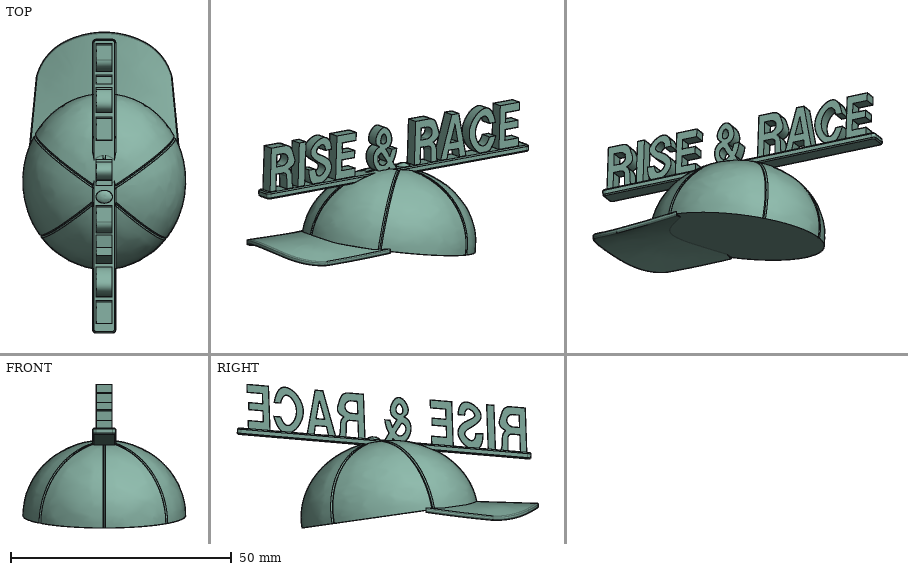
import cadquery as cq
import math


CROWN_HALF_LENGTH = 20.05
CROWN_HALF_WIDTH = 18.47
CROWN_HEIGHT = 17.15
CROWN_TILT = 8.1
CROWN_LEAN = 0.03
CROWN_CENTRE_Y = 3.6
CROWN_CENTRE_Z = CROWN_HALF_LENGTH * math.sin(math.radians(CROWN_TILT))

SEAM_WIDTH = 0.7
SEAM_DEPTH = 0.25
SEAM_ANGLES = (90, 270, 30, 148.5, 218, 320)

BRIM_THICKNESS = 1.1
BRIM_REAR_Y = 11.8
BRIM_FRONT_Y = 37.3
BRIM_HALF_WIDTH = 16.9
BRIM_REAR_CROWN_Z = 6.4
BRIM_FRONT_CROWN_Z = 5.65
BRIM_REAR_RADIUS = 80.0
BRIM_FRONT_RADIUS = 29.0
BRIM_EDGE_FILLET = 0.3
BRIM_SHEET_MARGIN = 1.0
BRIM_SIDE_END = (15.4, 27.0)
BRIM_CORNER_MIDDLE = (13.2, 31.6)
BRIM_CORNER_END = (9.0, 35.1)

BAR_WIDTH = 5.24
BAR_THICKNESS = 1.5
BAR_FRONT_Y = 35.7
BAR_REAR_Y = -30.8
BAR_FRONT_TOP_Z = 17.1
BAR_SLOPE = 4.85
BAR_CORNER_RADIUS = 0.8
BAR_EDGE_CHAMFER = 0.3

BUTTON_WIDTH = 3.7
BUTTON_LENGTH = 2.95
BUTTON_RISE = 0.5

LETTER_DEPTH = 3.63
LETTER_HEIGHT = 10.05
LETTER_LEAN = 2.0
STEM = 1.5
FOOT = -0.3
I_WIDTH = 1.7
LETTER_STARTS = (1.0, 8.1, 10.9, 17.65, 27.2, 37.65, 44.25, 51.55, 59.15)


def stretched(body, x_factor, y_factor, lean=0.0):
    """Scale a body along X and Y only, and shift it along -Y in proportion to its height."""
    matrix = cq.Matrix([[x_factor, 0, 0, 0], [0, y_factor, -lean, 0], [0, 0, 1, 0]])
    return cq.Workplane(body.val().transformGeometry(matrix))


def meridian(sketch):
    """Draw the crown's elliptical profile from the hem up to the pole."""
    return sketch.ellipseArc(CROWN_HALF_LENGTH, CROWN_HEIGHT, 0, 90, startAtCurrent=False)


def make_crown():
    profile = meridian(cq.Workplane("XZ")).lineTo(0, 0).close()
    crown = profile.revolve(360, (0, 0, 0), (0, 1, 0))
    groove = (
        cq.Workplane("XY")
        .polyline([
            (CROWN_HALF_LENGTH - SEAM_DEPTH, 0),
            (CROWN_HALF_LENGTH + SEAM_DEPTH, SEAM_WIDTH),
            (CROWN_HALF_LENGTH + SEAM_DEPTH, -SEAM_WIDTH),
        ])
        .close()
        .sweep(meridian(cq.Workplane("XZ")))
    )
    for angle in SEAM_ANGLES:
        crown = crown.cut(groove.rotate((0, 0, 0), (0, 0, 1), angle))
    crown = stretched(crown, CROWN_HALF_WIDTH / CROWN_HALF_LENGTH, 1, CROWN_LEAN)
    crown = crown.rotate((0, 0, 0), (1, 0, 0), CROWN_TILT)
    return crown.translate((0, CROWN_CENTRE_Y, CROWN_CENTRE_Z))


def brim_section(sketch, crown_z, radius):
    """Draw the arched cross-section of the brim, a little wider than the brim."""
    half = BRIM_HALF_WIDTH + BRIM_SHEET_MARGIN
    drop = radius - math.sqrt(radius**2 - half**2)
    bottom_z = crown_z - BRIM_THICKNESS
    return (
        sketch.moveTo(-half, crown_z - drop)
        .threePointArc((0, crown_z), (half, crown_z - drop))
        .lineTo(half, bottom_z - drop)
        .threePointArc((0, bottom_z), (-half, bottom_z - drop))
        .close()
    )


def mirrored(point):
    return (-point[0], point[1])


def make_brim():
    rear = cq.Workplane("XZ", origin=(0, BRIM_REAR_Y, 0))
    sheet = brim_section(rear, BRIM_REAR_CROWN_Z, BRIM_REAR_RADIUS)
    sheet = sheet.workplane(offset=BRIM_REAR_Y - BRIM_FRONT_Y)
    sheet = brim_section(sheet, BRIM_FRONT_CROWN_Z, BRIM_FRONT_RADIUS).loft()
    outline = (
        cq.Workplane("XY")
        .moveTo(-BRIM_HALF_WIDTH, BRIM_REAR_Y)
        .lineTo(BRIM_HALF_WIDTH, BRIM_REAR_Y)
        .lineTo(*BRIM_SIDE_END)
        .threePointArc(BRIM_CORNER_MIDDLE, BRIM_CORNER_END)
        .threePointArc((0, BRIM_FRONT_Y), mirrored(BRIM_CORNER_END))
        .threePointArc(mirrored(BRIM_CORNER_MIDDLE), mirrored(BRIM_SIDE_END))
        .close()
        .extrude(2 * BRIM_FRONT_CROWN_Z)
    )
    brim = sheet.intersect(outline)
    return brim.edges("not(|Z or <Y)").fillet(BRIM_EDGE_FILLET)


def bar_top_z(y):
    return BAR_FRONT_TOP_Z + (BAR_FRONT_Y - y) * math.tan(math.radians(BAR_SLOPE))


def make_bar():
    length = (BAR_FRONT_Y - BAR_REAR_Y) / math.cos(math.radians(BAR_SLOPE))
    middle_y = (BAR_FRONT_Y + BAR_REAR_Y) / 2
    bar = (
        cq.Workplane("XY")
        .box(BAR_WIDTH, length, BAR_THICKNESS, centered=(True, True, False))
        .edges("|Z")
        .fillet(BAR_CORNER_RADIUS)
        .faces("<Z or >Z")
        .chamfer(BAR_EDGE_CHAMFER)
        .translate((0, 0, -BAR_THICKNESS))
        .rotate((0, 0, 0), (1, 0, 0), -BAR_SLOPE)
    )
    return bar.translate((0, middle_y, bar_top_z(middle_y)))


def make_button():
    half = BUTTON_WIDTH / 2
    cap = (
        cq.Workplane("XZ")
        .moveTo(0, -BAR_THICKNESS)
        .lineTo(half, -BAR_THICKNESS)
        .lineTo(half, 0)
        .threePointArc((half * math.sqrt(0.5), BUTTON_RISE * math.sqrt(0.5)), (0, BUTTON_RISE))
        .close()
        .revolve(360, (0, 0, 0), (0, 1, 0))
    )
    cap = stretched(cap, 1, BUTTON_LENGTH / BUTTON_WIDTH)
    return cap.rotate((0, 0, 0), (1, 0, 0), -BAR_SLOPE).translate((0, 0, bar_top_z(0)))




def letter_plane():
    return cq.Workplane("XY", origin=(0, 0, -LETTER_DEPTH / 2))


def extruded(outline):
    return outline.close().extrude(LETTER_DEPTH)


def letter_r():
    body = extruded(
        letter_plane()
        .moveTo(0, FOOT)
        .lineTo(0, LETTER_HEIGHT)
        .lineTo(3.4, LETTER_HEIGHT)
        .spline([(5.0, 9.3), (5.8, 7.4), (4.7, 4.5)], tangents=[(1, 0), (-1, -0.5)], includeCurrent=True)
        .spline([(5.45, 3.2), (5.6, 1.2), (6.2, FOOT)], includeCurrent=True)
        .lineTo(4.3, FOOT)
        .lineTo(4.15, 2.9)
        .threePointArc((3.95, 3.5), (3.4, 3.8))
        .lineTo(STEM, 3.8)
        .lineTo(STEM, FOOT)
    )
    eye = extruded(
        letter_plane()
        .moveTo(STEM, 5.5)
        .lineTo(STEM, 8.25)
        .lineTo(3.0, 8.25)
        .threePointArc((4.3, 6.9), (3.0, 5.5))
    )
    return body.cut(eye)


def letter_i():
    return extruded(
        letter_plane()
        .moveTo(0, FOOT)
        .lineTo(0, LETTER_HEIGHT)
        .lineTo(I_WIDTH, LETTER_HEIGHT)
        .lineTo(I_WIDTH, FOOT)
    )


def letter_s():
    outer = [(2.7, 10.15), (0.2, 7.5), (2.3, 4.75), (4.05, 2.9), (2.9, 1.65), (1.6, 3.25)]
    inner = [(2.8, FOOT), (5.6, 2.7), (3.9, 5.75), (1.7, 7.5), (2.8, 8.65), (3.95, 7.2)]
    return extruded(
        letter_plane()
        .moveTo(5.5, 7.2)
        .spline(outer, includeCurrent=True)
        .lineTo(-0.1, 3.4)
        .spline(inner, includeCurrent=True)
    )


def letter_e():
    arm = 4.95
    middle_arm = 4.7
    return extruded(
        letter_plane()
        .moveTo(0, FOOT)
        .lineTo(0, LETTER_HEIGHT)
        .lineTo(arm, LETTER_HEIGHT)
        .lineTo(arm, 8.2)
        .lineTo(STEM, 8.2)
        .lineTo(STEM, 5.95)
        .lineTo(middle_arm, 5.95)
        .lineTo(middle_arm, 4.3)
        .lineTo(STEM, 4.3)
        .lineTo(STEM, 1.85)
        .lineTo(arm, 1.85)
        .lineTo(arm, FOOT)
    )


def letter_a():
    body = extruded(
        letter_plane()
        .moveTo(0, FOOT)
        .lineTo(2.6, LETTER_HEIGHT)
        .lineTo(4.4, LETTER_HEIGHT)
        .lineTo(6.6, FOOT)
        .lineTo(4.95, FOOT)
        .lineTo(4.6, 1.95)
        .lineTo(2.1, 1.95)
        .lineTo(1.65, FOOT)
    )
    eye = extruded(letter_plane().moveTo(2.45, 3.6).lineTo(3.5, 7.7).lineTo(4.35, 3.6))
    return body.cut(eye)


def letter_c():
    outer = [(3.5, 10.1), (-0.1, 5.5), (3.5, FOOT), (6.7, 3.3)]
    inner = [(3.5, 1.5), (1.5, 5.3), (3.5, 8.3), (5.0, 6.4)]
    return extruded(
        letter_plane()
        .moveTo(6.5, 6.4)
        .spline(outer, includeCurrent=True)
        .lineTo(5.1, 3.3)
        .spline(inner, includeCurrent=True)
    )


def ampersand():
    body = extruded(
        letter_plane()
        .moveTo(1.45, 5.7)
        .spline([(0.5, 8.0), (2.4, 10.0), (4.35, 7.9), (3.1, 4.9)], includeCurrent=True)
        .lineTo(4.15, 3.1)
        .lineTo(4.65, 4.65)
        .lineTo(5.85, 4.65)
        .threePointArc((5.6, 3.1), (5.0, 1.7))
        .lineTo(6.2, FOOT)
        .lineTo(4.5, FOOT)
        .lineTo(4.1, 0.5)
        .spline([(2.3, FOOT), (-0.05, 2.8), (1.45, 5.7)], includeCurrent=True)
    )
    upper_eye = extruded(
        letter_plane()
        .moveTo(2.4, 6.2)
        .spline([(3.1, 7.6), (2.4, 8.5), (1.75, 7.6), (2.4, 6.2)], includeCurrent=True)
    )
    lower_eye = extruded(
        letter_plane()
        .moveTo(2.0, 4.2)
        .lineTo(3.5, 1.95)
        .spline([(2.3, 1.3), (1.15, 2.75), (2.0, 4.2)], includeCurrent=True)
    )
    return body.cut(upper_eye).cut(lower_eye)


def on_bar(letter, distance):
    """Stand a letter on the bar, at a distance behind the bar's front end."""
    slope = math.radians(BAR_SLOPE)
    lean = math.radians(LETTER_LEAN)
    y = BAR_FRONT_Y - distance
    matrix = cq.Matrix([
        [0, 0, 1, 0],
        [-math.cos(slope), -math.sin(lean), 0, y],
        [math.sin(slope), math.cos(lean), 0, bar_top_z(y)],
    ])
    return cq.Workplane(letter.val().transformGeometry(matrix))


def make_letters():
    r = letter_r()
    e = letter_e()
    row = [r, letter_i(), letter_s(), e, ampersand(), r, letter_a(), letter_c(), e]
    return [on_bar(letter, start) for letter, start in zip(row, LETTER_STARTS)]


result = make_crown().union(make_brim()).union(make_bar()).union(make_button())
for letter in make_letters():
    result = result.union(letter)